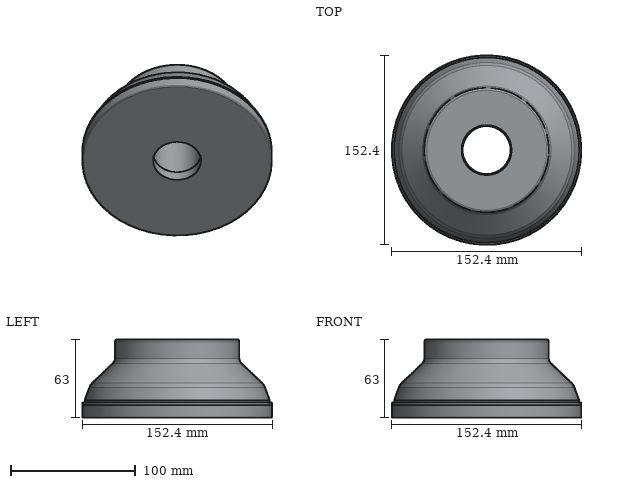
import cadquery as cq

outer_radius = 76.2
total_height = 63.0
bore_radius = 19.2
bore_chamfer = 0.9

ring_height = 10.0
ring_round = 0.8

flange_top = 12.3
flange_round = 0.9
foot_radius = 74.4
foot_top = 14.2

shoulder_radius = 69.8
shoulder_height = 26.5
shoulder_round = 9.5
hub_radius = 50.0
neck_height = 45.4
neck_round = 5.2
hub_edge_round = 1.8


def edge_circle(radius, height):
    """Select the circular edge of this radius at this height."""
    margin = 0.02
    outer_box = (-radius - margin, -radius - margin, height - margin)
    outer_corner = (radius + margin, radius + margin, height + margin)
    inner = radius - margin
    inner_box = (-inner, -inner, height - margin)
    inner_corner = (inner, inner, height + margin)
    return (
        cq.selectors.BoxSelector(outer_box, outer_corner, boundingbox=True)
        - cq.selectors.BoxSelector(inner_box, inner_corner, boundingbox=True)
    )


def make_cup():
    """Flared cup body: flange, two conical stretches, hub and bore."""
    profile = (
        cq.Workplane("XZ")
        .moveTo(bore_radius, ring_height)
        .lineTo(outer_radius, ring_height)
        .lineTo(outer_radius, flange_top)
        .lineTo(foot_radius, flange_top)
        .lineTo(foot_radius, foot_top)
        .lineTo(shoulder_radius, shoulder_height)
        .lineTo(hub_radius, neck_height)
        .lineTo(hub_radius, total_height)
        .lineTo(bore_radius, total_height)
        .close()
    )
    cup = profile.revolve(360, (0, 0, 0), (0, 1, 0))
    cup = cup.edges(edge_circle(shoulder_radius, shoulder_height)).fillet(shoulder_round)
    cup = cup.edges(edge_circle(hub_radius, neck_height)).fillet(neck_round)
    cup = cup.edges(edge_circle(hub_radius, total_height)).fillet(hub_edge_round)
    cup = cup.edges(edge_circle(outer_radius, flange_top)).fillet(flange_round)
    return cup.edges(edge_circle(bore_radius, total_height)).chamfer(bore_chamfer)


def make_base_ring():
    """Flat ring under the cup, with the same bore and a rounded lower edge."""
    ring = cq.Workplane("XY").circle(outer_radius).circle(bore_radius).extrude(ring_height)
    return ring.edges(edge_circle(outer_radius, 0)).fillet(ring_round)


cup = make_cup()
base_ring = make_base_ring()

result = cq.Compound.makeCompound([cup.val(), base_ring.val()])